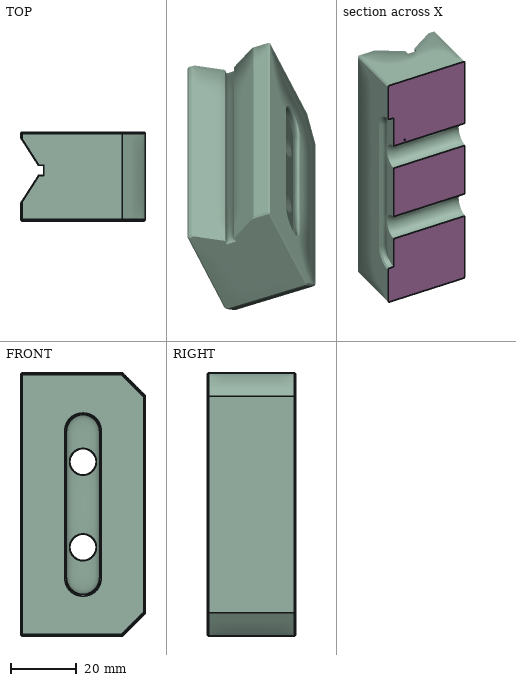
import cadquery as cq

LENGTH = 38.0
THICKNESS = 27.0
HEIGHT = 80.0
CORNER_CUT = 7.0
EDGE_CHAMFER = 0.5

VEE_WIDTH = 20.3
VEE_OFFSET = 1.8
VEE_ROOT_DEPTH = 5.5
RELIEF_WIDTH = 3.0
RELIEF_DEPTH = 7.0

RECESS_LENGTH = 55.7
RECESS_WIDTH = 11.0
RECESS_DEPTH = 2.0
HOLE_DIAMETER = 8.0
HOLE_SPACING = 26.0

left = -LENGTH / 2
front = -THICKNESS / 2


def make_block():
    """Block with two cut corners on +X, chamfered around the -Y, +Y and -X faces."""
    block = cq.Workplane("XY").box(LENGTH, THICKNESS, HEIGHT)
    block = block.edges(">X and |Y").chamfer(CORNER_CUT)
    return block.faces("<Y or >Y or <X").edges().chamfer(EDGE_CHAMFER)


def make_vee_groove():
    """Vee with a rectangular relief slot, running through the full height."""
    relief_x = left + RELIEF_DEPTH
    root_x = left + VEE_ROOT_DEPTH
    return (
        cq.Workplane("XY", origin=(0, VEE_OFFSET, -HEIGHT / 2))
        .moveTo(left, -VEE_WIDTH / 2)
        .lineTo(root_x, -RELIEF_WIDTH / 2)
        .lineTo(relief_x, -RELIEF_WIDTH / 2)
        .lineTo(relief_x, RELIEF_WIDTH / 2)
        .lineTo(root_x, RELIEF_WIDTH / 2)
        .lineTo(left, VEE_WIDTH / 2)
        .close()
        .extrude(HEIGHT)
    )


def make_recess():
    """Round-ended pocket whose rim flares out by the edge chamfer."""
    inner_length = RECESS_LENGTH - 2 * EDGE_CHAMFER
    inner_width = RECESS_WIDTH - 2 * EDGE_CHAMFER
    pocket = (
        cq.Workplane("XZ", origin=(0, front, 0))
        .slot2D(inner_length, inner_width, 90)
        .extrude(-RECESS_DEPTH)
    )
    rim = (
        cq.Workplane("XZ", origin=(0, front, 0))
        .slot2D(RECESS_LENGTH, RECESS_WIDTH, 90)
        .extrude(-EDGE_CHAMFER, taper=45)
    )
    return pocket.union(rim)


def make_holes():
    """Two holes along Y through the whole thickness."""
    return (
        cq.Workplane("XZ", origin=(0, front, 0))
        .pushPoints([(0, -HOLE_SPACING / 2), (0, HOLE_SPACING / 2)])
        .circle(HOLE_DIAMETER / 2)
        .extrude(-THICKNESS)
    )


result = make_block().cut(make_vee_groove()).cut(make_recess()).cut(make_holes())